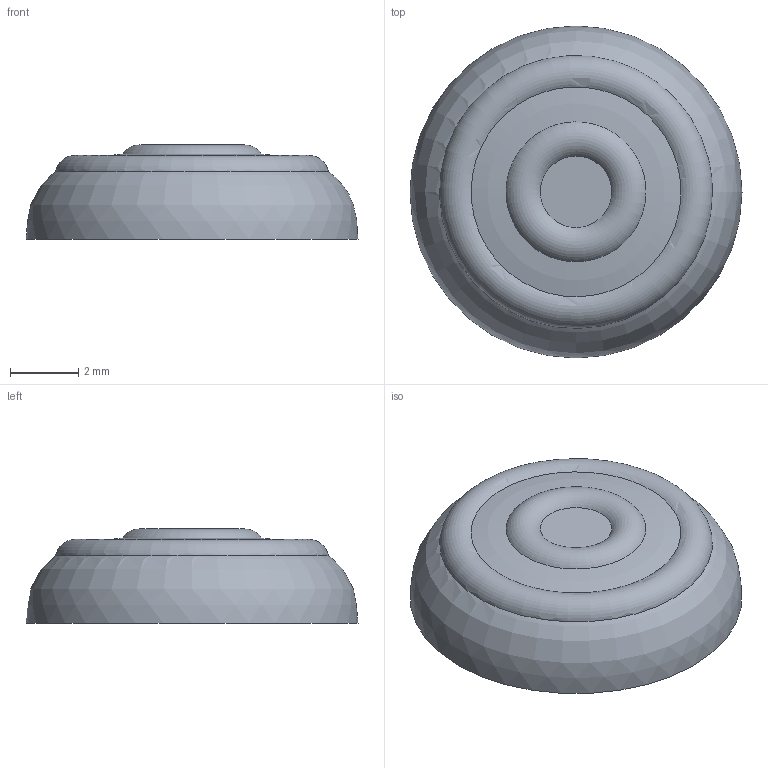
import cadquery as cq

base_radius = 4.85
dome_height = 2.49
flat_radius = 1.54
side_pull = 1.65
crown_pull = 2.47

bead_radius = 0.6
inner_ring_radius = flat_radius
inner_ring_top = 2.75
outer_ring_radius = 3.4
outer_ring_top = 2.445


def make_dome():
    """Solid dome: one smooth curve from a vertical foot to a level crown."""
    profile = (
        cq.Workplane("XZ")
        .lineTo(base_radius, 0)
        .bezier(
            [
                (base_radius, 0),
                (base_radius, side_pull),
                (flat_radius + crown_pull, dome_height),
                (flat_radius, dome_height),
            ]
        )
        .lineTo(0, dome_height)
        .close()
    )
    return profile.revolve(360, (0, 0, 0), (0, 1, 0))


def make_ring(center_radius, top):
    """Full torus whose crest lies at the given height."""
    center = cq.Vector(0, 0, top - bead_radius)
    return cq.Workplane(cq.Solid.makeTorus(center_radius, bead_radius, center))


inner_ring = make_ring(inner_ring_radius, inner_ring_top)
outer_ring = make_ring(outer_ring_radius, outer_ring_top)
result = make_dome().union(inner_ring).union(outer_ring)